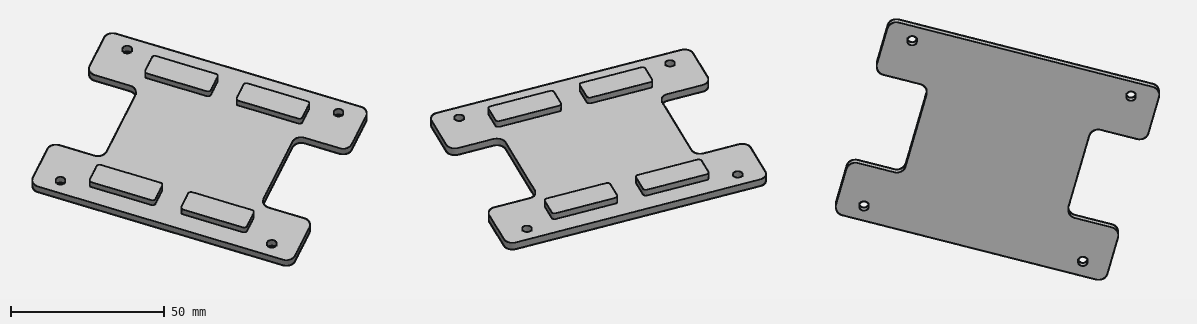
import cadquery as cq

plate_length = 91.8
plate_width = 70.0
plate_thickness = 2.9
corner_radius = 3.0

waist_length = 55.0
notch_width = 32.0
notch_depth = (plate_length - waist_length) / 2

hole_diameter = 3.2
hole_spacing_x = 74.0
hole_spacing_y = 60.0

total_height = 5.4
pad_height = total_height - plate_thickness
pad_length = 23.0
pad_width = 8.0
pad_corner_radius = 1.0
pad_spacing_x = waist_length - pad_length
pad_spacing_y = 49.8


def make_plate():
    """H-shaped plate with every outline corner rounded."""
    plate = cq.Workplane("XY").rect(plate_length, plate_width).extrude(plate_thickness)
    notch_offset = plate_length - notch_depth
    notches = (
        cq.Workplane("XY")
        .rarray(notch_offset, 0.9, 2, 1)
        .rect(notch_depth, notch_width)
        .extrude(plate_thickness)
    )
    return plate.cut(notches).edges("|Z").fillet(corner_radius)


def make_pads():
    """Four rounded pads standing on the plate."""
    return (
        cq.Workplane("XY", origin=(0, 0, plate_thickness))
        .rarray(pad_spacing_x, pad_spacing_y, 2, 2)
        .rect(pad_length, pad_width)
        .extrude(pad_height)
        .edges("|Z")
        .fillet(pad_corner_radius)
    )


def make_holes():
    """Cutters for the through holes near the four plate corners."""
    return (
        cq.Workplane("XY")
        .rarray(hole_spacing_x, hole_spacing_y, 2, 2)
        .circle(hole_diameter / 2)
        .extrude(plate_thickness)
    )


result = make_plate().cut(make_holes()).union(make_pads())